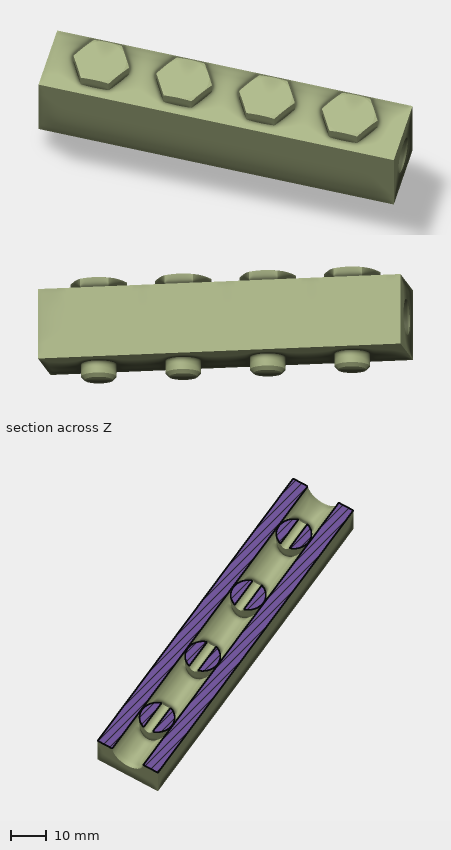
import cadquery as cq
import math

block_length = 103.0
block_side = 20.0
bore_diameter = 10.2

bolt_count = 4
bolt_pitch = 24.0
shank_diameter = 10.0
shank_projection = 4.5
shank_chamfer = 1.0
cross_hole_diameter = 3.0

head_across_flats = 14.0
head_height = 3.5
head_chamfer_angle = math.radians(15.0)

block_top = block_side / 2
block_bottom = -block_side / 2
shank_end = block_bottom - shank_projection
head_across_corners = head_across_flats / math.cos(math.radians(30.0))


def make_block():
    """Square bar with a round bore along its whole length."""
    bar = cq.Workplane("XY").box(block_length, block_side, block_side)
    return bar.faces("<X").workplane().hole(bore_diameter)


def make_head():
    """Hexagon with corners along X, its corners trimmed by a cone at each rim."""
    hexagon = (
        cq.Workplane("XY")
        .workplane(offset=block_top)
        .polygon(6, head_across_corners)
        .extrude(head_height)
    )
    flat_radius = head_across_flats / 2
    corner_radius = head_across_corners / 2
    chamfer_height = (corner_radius - flat_radius) * math.tan(head_chamfer_angle)
    head_top = block_top + head_height
    trimming_body = (
        cq.Workplane("XZ")
        .moveTo(0, block_top)
        .lineTo(flat_radius, block_top)
        .lineTo(corner_radius, block_top + chamfer_height)
        .lineTo(corner_radius, head_top - chamfer_height)
        .lineTo(flat_radius, head_top)
        .lineTo(0, head_top)
        .close()
        .revolve(360, (0, 0), (0, 1))
    )
    return hexagon.intersect(trimming_body)


def make_bolt():
    """Bolt on the Z axis, cross-drilled on the line of the bore."""
    shank = (
        cq.Workplane("XY")
        .workplane(offset=shank_end)
        .circle(shank_diameter / 2)
        .extrude(block_top - shank_end)
        .faces("<Z")
        .chamfer(shank_chamfer)
    )
    cross_hole = (
        cq.Workplane("YZ")
        .circle(cross_hole_diameter / 2)
        .extrude(shank_diameter / 2, both=True)
    )
    return shank.union(make_head()).cut(cross_hole)


result = make_block()
bolt = make_bolt()
first_bolt_x = -bolt_pitch * (bolt_count - 1) / 2
for index in range(bolt_count):
    result = result.union(bolt.translate((first_bolt_x + index * bolt_pitch, 0, 0)))